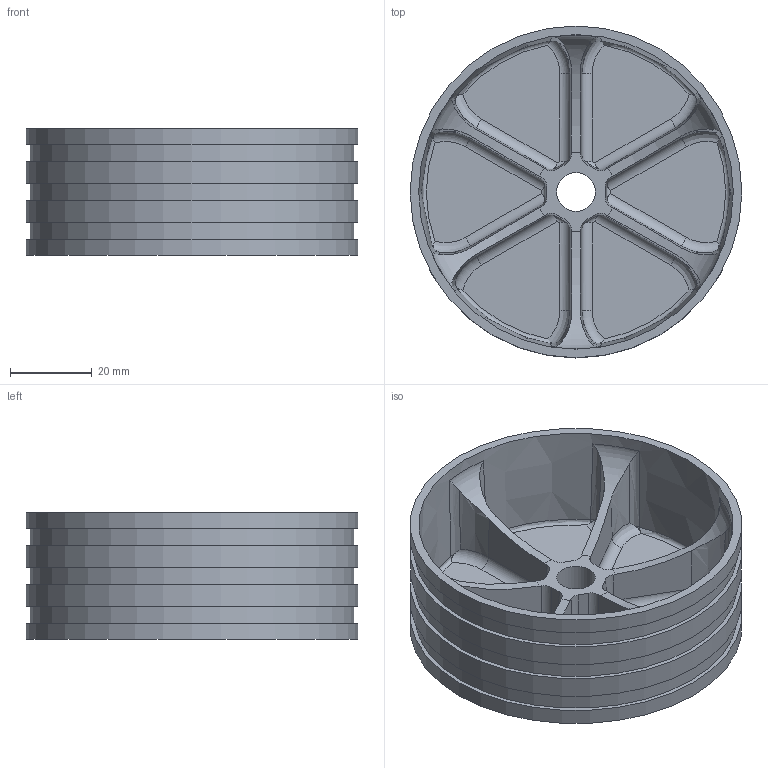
import cadquery as cq
import math

OUTER_RADIUS = 40.5
HEIGHT = 31.0
RIM_LIP_RADIUS = 38.4
DRAFT_ANGLE = 2.0

GROOVE_COUNT = 3
GROOVE_WIDTH = 4.2
GROOVE_DEPTH = 1.0
GROOVE_PITCH = 9.5

FLOOR_THICKNESS = 5.0
HUB_HEIGHT = 15.0
HUB_TOP_RADIUS = 9.7
BORE_DIAMETER = 9.5
SPOKE_COUNT = 6
SPOKE_RIM_HEIGHT = 28.5
SPOKE_ROOT_HALF_WIDTH = 1.5
HUB_ROOT_DISTANCE = 7.5
FLARE_START = 28.9
FLARE_ROOT_RADIUS = 12.0

CORNER_FILLET = 2.5
FLOOR_FILLET = 1.0
SPOKE_ROOT_FILLET = 2.5

POCKET_DEPTH = HEIGHT - FLOOR_THICKNESS
DRAFT_SLOPE = math.tan(math.radians(DRAFT_ANGLE))

DRAFT_SHIFT = POCKET_DEPTH * DRAFT_SLOPE
SPOKE_HALF_WIDTH = SPOKE_ROOT_HALF_WIDTH - DRAFT_SHIFT
HUB_FLAT_DISTANCE = HUB_ROOT_DISTANCE - DRAFT_SHIFT
FLARE_RADIUS = FLARE_ROOT_RADIUS + DRAFT_SHIFT

SPOKE_ANGLE = 360.0 / SPOKE_COUNT
HALF_ANGLE = math.radians(SPOKE_ANGLE / 2)


def beside_spoke(along, across, side):
    """Point in the pocket centred on +X, measured along and across one of its two spokes."""
    x = along * math.cos(HALF_ANGLE) + across * math.sin(HALF_ANGLE)
    y = along * math.sin(HALF_ANGLE) - across * math.cos(HALF_ANGLE)
    return (x, side * y)


def flare_point(angle, side):
    """Point on the flared end of a spoke side, after turning through angle (radians)."""
    along = FLARE_START + FLARE_RADIUS * math.sin(angle)
    across = SPOKE_HALF_WIDTH + FLARE_RADIUS * (1 - math.cos(angle))
    return beside_spoke(along, across, side)


def flare_angle_at_rim():
    """Angle the flare turns through before it meets the rim wall at the top face."""
    center_across = SPOKE_HALF_WIDTH + FLARE_RADIUS
    center_distance = math.hypot(FLARE_START, center_across)
    cos_at_center = (center_distance**2 + FLARE_RADIUS**2 - RIM_LIP_RADIUS**2) / (
        2 * center_distance * FLARE_RADIUS
    )
    toward_axis = math.atan2(FLARE_START, center_across)
    return math.acos(cos_at_center) - toward_axis


def make_rim_blank():
    """Solid disc with the belt grooves cut around it."""
    blank = cq.Workplane("XY").circle(OUTER_RADIUS).extrude(HEIGHT)
    for index in range(GROOVE_COUNT):
        center_height = HEIGHT / 2 + (index - (GROOVE_COUNT - 1) / 2) * GROOVE_PITCH
        groove = (
            cq.Workplane("XY", origin=(0, 0, center_height - GROOVE_WIDTH / 2))
            .circle(OUTER_RADIUS + GROOVE_DEPTH)
            .circle(OUTER_RADIUS - GROOVE_DEPTH)
            .extrude(GROOVE_WIDTH)
        )
        blank = blank.cut(groove)
    return blank


def make_rim_space():
    """Drafted round space inside the rim, from the floor up, with its floor edge rounded."""
    space = (
        cq.Workplane("XY", origin=(0, 0, HEIGHT))
        .circle(RIM_LIP_RADIUS)
        .extrude(-POCKET_DEPTH, taper=DRAFT_ANGLE)
    )
    return space.faces("<Z").edges().fillet(FLOOR_FILLET)


def make_web_envelope():
    """Round body under the hub and spoke tops: flat over the hub, then a quarter ellipse up to the rim."""
    end_radius = RIM_LIP_RADIUS - (HEIGHT - SPOKE_RIM_HEIGHT) * DRAFT_SLOPE
    run = end_radius - HUB_TOP_RADIUS
    rise = SPOKE_RIM_HEIGHT - HUB_HEIGHT
    return (
        cq.Workplane("XZ")
        .moveTo(0, HUB_HEIGHT)
        .lineTo(HUB_TOP_RADIUS, HUB_HEIGHT)
        .ellipseArc(run, rise, 270, 360, sense=1, startAtCurrent=True)
        .lineTo(OUTER_RADIUS, SPOKE_RIM_HEIGHT)
        .lineTo(OUTER_RADIUS, 0)
        .lineTo(0, 0)
        .close()
        .revolve(360, (0, 0, 0), (0, 1, 0))
    )


def is_pocket_corner(edge):
    """True for the upright edges at the hub and the rim, not where a spoke side turns into its flare."""
    start, end = edge.startPoint(), edge.endPoint()
    upright = abs(end.z - start.z) > POCKET_DEPTH / 2
    middle = edge.Center()
    at_flare_start = abs(math.hypot(middle.x, middle.y) - FLARE_START) < FLARE_RADIUS / 4
    return upright and not at_flare_start


def make_pocket_core():
    """Drafted pocket between two spokes with its corners and its floor edge rounded."""
    hub_along = (HUB_FLAT_DISTANCE - SPOKE_HALF_WIDTH * math.sin(HALF_ANGLE)) / math.cos(HALF_ANGLE)
    turn = flare_angle_at_rim()
    core = (
        cq.Workplane("XY", origin=(0, 0, HEIGHT))
        .moveTo(*beside_spoke(hub_along, SPOKE_HALF_WIDTH, -1))
        .lineTo(*beside_spoke(FLARE_START, SPOKE_HALF_WIDTH, -1))
        .threePointArc(flare_point(turn / 2, -1), flare_point(turn, -1))
        .threePointArc((RIM_LIP_RADIUS, 0), flare_point(turn, 1))
        .threePointArc(flare_point(turn / 2, 1), beside_spoke(FLARE_START, SPOKE_HALF_WIDTH, 1))
        .lineTo(*beside_spoke(hub_along, SPOKE_HALF_WIDTH, 1))
        .close()
        .extrude(-POCKET_DEPTH, taper=DRAFT_ANGLE)
    )
    corners = [edge for edge in core.edges().vals() if is_pocket_corner(edge)]
    return core.newObject(corners).fillet(CORNER_FILLET).faces("<Z").edges().fillet(FLOOR_FILLET)


def make_spoke_side_space(side):
    """Space beside one spoke, bounded by its drafted side with the large root fillet along the floor."""
    past_rim_turn = math.radians(75)
    far_across = 2 * OUTER_RADIUS
    flare_end = flare_point(past_rim_turn, side)
    flare_end_along = FLARE_START + FLARE_RADIUS * math.sin(past_rim_turn)
    flare_end_across = SPOKE_HALF_WIDTH + FLARE_RADIUS * (1 - math.cos(past_rim_turn))
    far_along = flare_end_along + (far_across - flare_end_across) / math.tan(past_rim_turn)
    space = (
        cq.Workplane("XY", origin=(0, 0, HEIGHT))
        .moveTo(*beside_spoke(0, SPOKE_HALF_WIDTH, side))
        .lineTo(*beside_spoke(FLARE_START, SPOKE_HALF_WIDTH, side))
        .threePointArc(flare_point(past_rim_turn / 2, side), flare_end)
        .lineTo(*beside_spoke(far_along, far_across, side))
        .lineTo(*beside_spoke(0, far_across, side))
        .close()
        .extrude(-POCKET_DEPTH, taper=DRAFT_ANGLE)
    )
    root = cq.NearestToPointSelector(
        (*beside_spoke(FLARE_START / 2, SPOKE_ROOT_HALF_WIDTH, side), FLOOR_THICKNESS)
    )
    return space.edges(root).fillet(SPOKE_ROOT_FILLET)


def make_pocket():
    """Pocket centred on +X: the core narrowed by the root fillets of both spokes."""
    pocket = make_pocket_core()
    for side in (-1, 1):
        pocket = pocket.intersect(make_spoke_side_space(side))
    return pocket


def make_web(rim_space):
    """Hub and spokes: what the pockets leave of the body filling the lower rim space."""
    web = rim_space.intersect(make_web_envelope())
    pocket = make_pocket()
    for index in range(SPOKE_COUNT):
        web = web.cut(pocket.rotate((0, 0, 0), (0, 0, 1), index * SPOKE_ANGLE))
    return web


rim_space = make_rim_space()
cavity = rim_space.cut(make_web(rim_space))
bore = cq.Workplane("XY").circle(BORE_DIAMETER / 2).extrude(HEIGHT)
result = make_rim_blank().cut(cavity).cut(bore)